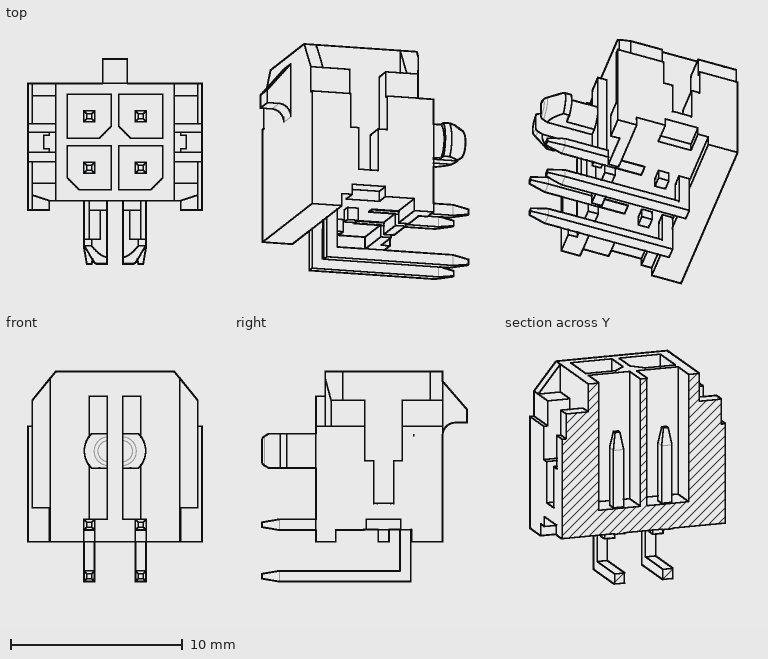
import cadquery as cq

SIDES = (-1, 1)

half_width = 4.82
height = 9.93
front_y = -6.84
deck_half_width = 3.45
shoulder_z = 8.25
front_half_width = 3.78
bevel_y = -6.5
rear_post_y = -0.73
front_post_y = -5.83

overall_width = 10.15
plate_half_width = overall_width / 2
plate_height = 6.75
plate_front_y = -7.38
foot_height = 2.0
foot_inner = 3.82

slot_wide_rear, slot_wide_front = -2.35, -4.55
slot_narrow_rear, slot_narrow_front = -2.84, -4.01
slot_wide_floor = 4.74
slot_narrow_floor = 2.25
well_inner_x = 3.83
well_outer_x = 4.14
well_rear, well_front = -3.01, -3.82
well_depth = 0.61

channel_rear, channel_front = -1.81, -6.22
channel_height = 0.72
recess_rear, recess_front = -2.45, -4.45
recess_top = 1.32
standoff_y = -3.44

pitch = 3.0
contact_x = pitch / 2
rear_row_y = front_y / 2 + pitch / 2
front_row_y = front_y / 2 - pitch / 2
pin = 0.64
pin_point = 0.29
pin_taper = 1.0
tail_end_y = -10.53
upper_tail_top = 1.32
upper_tail_z = upper_tail_top - pin / 2
lower_tail_z = upper_tail_z - pitch
rear_leg_y = -2.18
contact_tip_z = 6.73
socket = 2.56
socket_chamfer = 0.7
socket_floor = slot_narrow_floor

peg_gap = 0.92
peg_z = 5.3
peg_thickness = 2.01
peg_axis_x = 0.38
shaft_radius = 1.11
head_radius = 1.41
head_start_y = -9.08
cone_start_y = -9.46
peg_tip_radius = 0.77
peg_tip_fillet = 0.26
rib_outer_x = 1.49
rib_top = 8.5

latch_width = 1.45
latch_reach = 1.42
latch_root_top = 9.35
latch_nose_top = 7.71
latch_nose_bottom = 6.94
latch_fillet = 0.73


def block(x0, x1, y0, y1, z0, z1):
    """Box between two opposite corners given per axis, in either order."""
    box = cq.Workplane("XY").box(abs(x1 - x0), abs(y1 - y0), abs(z1 - z0))
    return box.translate(((x0 + x1) / 2, (y0 + y1) / 2, (z0 + z1) / 2))


def side_block(side, inner, outer, y0, y1, z0, z1):
    """Box on one side of the symmetry plane."""
    return block(side * inner, side * outer, y0, y1, z0, z1)


def make_body():
    plan = (
        cq.Workplane("XY")
        .polyline([
            (-half_width, 0), (half_width, 0), (half_width, bevel_y), (front_half_width, front_y),
            (-front_half_width, front_y), (-half_width, bevel_y),
        ])
        .close()
        .extrude(height)
    )
    elevation = (
        cq.Workplane("XZ")
        .polyline([
            (-half_width, 0), (half_width, 0), (half_width, shoulder_z), (deck_half_width, height),
            (-deck_half_width, height), (-half_width, shoulder_z),
        ])
        .close()
        .extrude(-front_y)
    )
    return plan.intersect(elevation)


def make_slot(side):
    inner, outer = deck_half_width, plate_half_width
    wide = side_block(side, inner, outer, slot_wide_rear, slot_wide_front, slot_wide_floor, height)
    narrow = side_block(side, inner, outer, slot_narrow_rear, slot_narrow_front, slot_narrow_floor, height)
    well_bottom = slot_narrow_floor - well_depth
    well = side_block(side, inner, well_inner_x, slot_narrow_rear, slot_narrow_front,
                      well_bottom, slot_narrow_floor)
    well_neck = side_block(side, inner, well_outer_x, well_rear, well_front, well_bottom, slot_narrow_floor)
    return wide.union(narrow).union(well).union(well_neck)


def make_housing():
    housing = make_body()
    for side in SIDES:
        housing = housing.cut(
            side_block(side, deck_half_width, half_width, rear_post_y, front_post_y, shoulder_z, height))
        housing = housing.union(
            side_block(side, half_width, plate_half_width, 0, plate_front_y, 0, plate_height))
        housing = housing.union(
            side_block(side, foot_inner, plate_half_width, channel_front, plate_front_y, 0, foot_height))
        housing = housing.cut(make_slot(side))
        housing = housing.cut(
            side_block(side, foot_inner, plate_half_width, recess_rear, recess_front, 0, recess_top))
        housing = housing.cut(
            side_block(side, contact_x - pin / 2, contact_x + pin / 2, channel_front, front_y, 0, upper_tail_z))
    channel = block(-plate_half_width, plate_half_width, channel_rear, channel_front, 0, channel_height)
    housing = housing.cut(channel)
    for side in SIDES:
        housing = housing.union(
            side_block(side, contact_x - pin / 2, contact_x + pin / 2,
                       standoff_y - pin / 2, standoff_y + pin / 2, 0, channel_height))
    return housing


def make_socket(x, y, chamfer_side):
    """Square socket with its front corner chamfered on the given side in X."""
    corner = ">X" if chamfer_side > 0 else "<X"
    return (
        cq.Workplane("XY")
        .box(socket, socket, height - socket_floor, centered=(True, True, False))
        .edges("|Z").edges("<Y").edges(corner)
        .chamfer(socket_chamfer)
        .translate((x, y, socket_floor))
    )


def make_pin(length):
    """Square pin along +Z from the origin, tapering to a blunt point."""
    shank = cq.Workplane("XY").rect(pin, pin).extrude(length - pin_taper)
    point = (
        cq.Workplane("XY", origin=(0, 0, length - pin_taper))
        .rect(pin, pin)
        .workplane(offset=pin_taper)
        .rect(pin_point, pin_point)
        .loft(ruled=True)
    )
    return shank.union(point)


def make_contact(x, row_y, tail_start_y, tail_z):
    prong = make_pin(contact_tip_z - channel_height).translate((x, row_y, channel_height))
    tail = make_pin(tail_start_y - tail_end_y).rotate((0, 0, 0), (1, 0, 0), 90)
    return prong.union(tail.translate((x, tail_start_y, tail_z)))


def make_rear_leg(x):
    return block(x - pin / 2, x + pin / 2, rear_leg_y - pin / 2, rear_leg_y + pin / 2,
                 lower_tail_z - pin / 2, upper_tail_z)


def make_peg_half(side):
    """Rib and the flattened, barbed half peg that stands on it."""
    inner = peg_gap / 2
    turned = (
        cq.Workplane("XY")
        .polyline([
            (0, front_y), (shaft_radius, front_y), (shaft_radius, head_start_y), (head_radius, head_start_y),
            (head_radius, cone_start_y), (peg_tip_radius, tail_end_y), (0, tail_end_y),
        ])
        .close()
        .revolve(360, (0, 0, 0), (0, 1, 0))
        .faces("<Y").edges()
        .fillet(peg_tip_fillet)
        .translate((side * peg_axis_x, 0, peg_z))
    )
    envelope = side_block(side, inner, peg_axis_x + head_radius, front_y, tail_end_y,
                          peg_z - peg_thickness / 2, peg_z + peg_thickness / 2)
    rib = side_block(side, inner, rib_outer_x, front_y, plate_front_y, upper_tail_top, rib_top)
    return turned.intersect(envelope).union(rib)


def make_latch():
    return (
        cq.Workplane("YZ")
        .moveTo(0, latch_root_top)
        .lineTo(latch_reach, latch_nose_top)
        .lineTo(latch_reach, latch_nose_bottom)
        .lineTo(latch_fillet, latch_nose_bottom)
        .tangentArcPoint((-latch_fillet, -latch_fillet))
        .close()
        .extrude(latch_width / 2, both=True)
    )


result = make_housing().union(make_latch())
for side in SIDES:
    x = side * contact_x
    result = result.cut(make_socket(x, rear_row_y, -side))
    result = result.cut(make_socket(x, front_row_y, side))
for side in SIDES:
    x = side * contact_x
    result = result.union(make_contact(x, rear_row_y, rear_leg_y + pin / 2, lower_tail_z))
    result = result.union(make_contact(x, front_row_y, front_row_y + pin / 2, upper_tail_z))
    result = result.union(make_rear_leg(x))
    result = result.union(make_peg_half(side))